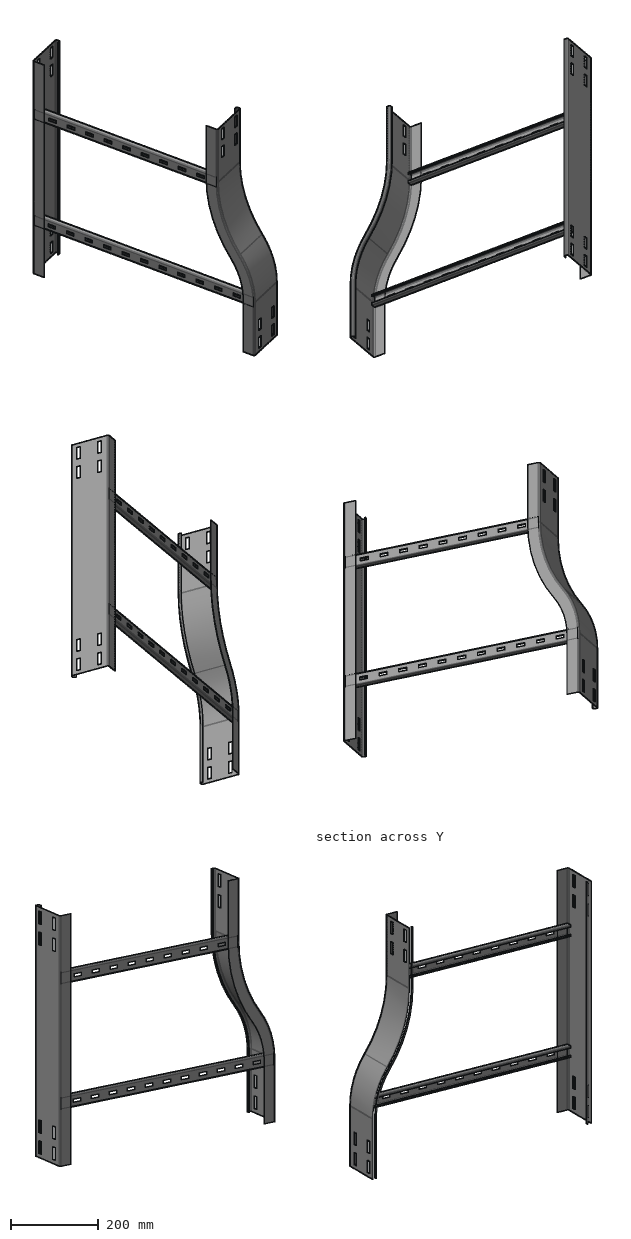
import cadquery as cq
import math

HEIGHT = 600.0
WIDE_WIDTH = 600.0
SLOT_PITCH = HEIGHT / 12
DEPTH = 2 * SLOT_PITCH
OFFSET_X = 2 * SLOT_PITCH
NARROW_WIDTH = WIDE_WIDTH - OFFSET_X

SHEET = 2.0
BEND_RADIUS = 4.0
INNER_BEND_RADIUS = BEND_RADIUS - SHEET
FLANGE_WIDTH = 31.0
LIP_WIDTH = 12.0
LIP_DROP = 9.0

STRAIGHT_LENGTH = 150.0
BEND_LENGTH = HEIGHT - 2 * STRAIGHT_LENGTH
UPPER_BEND_RADIUS = 300.0
BEND_ANGLE = 2 * math.atan(OFFSET_X / BEND_LENGTH)
LOWER_BEND_RADIUS = BEND_LENGTH / math.sin(BEND_ANGLE) - UPPER_BEND_RADIUS

RAIL_SLOT_LENGTH = 30.0
RAIL_SLOT_WIDTH = 9.0
RAIL_SLOT_Y = (24.5, 80.0)
FIRST_RAIL_SLOT = SLOT_PITCH / 2
LOW_SLOT_HEIGHTS = [FIRST_RAIL_SLOT, FIRST_RAIL_SLOT + SLOT_PITCH]
HIGH_SLOT_HEIGHTS = [HEIGHT - low for low in LOW_SLOT_HEIGHTS]

RUNG_HEIGHT = 30.0
RUNG_DEPTH = 15.0
RUNG_BEND_RADIUS = 2.1
RUNG_OPENING = 18.0
RUNG_CLEARANCE = 0.5
RUNG_END_GAP = BEND_RADIUS + RUNG_CLEARANCE
RUNG_SLOT_LENGTH = 20.0
RUNG_SLOT_HEIGHT = 7.0
LOWER_RUNG_Z = STRAIGHT_LENGTH
UPPER_RUNG_Z = HEIGHT - STRAIGHT_LENGTH
LOWER_RUNG_SLOTS = 11
UPPER_RUNG_SLOTS = 9
UPPER_SLOT_SHIFT = 2.5


def rail_profile(outer_x, inward):
    """Closed sheet section on the base plane; inward is +1 or -1 along X."""

    def at(distance, y):
        return (outer_x + inward * distance, y)

    outer_arc = inward * BEND_RADIUS
    inner_arc = -inward * INNER_BEND_RADIUS
    return (
        cq.Workplane("XY")
        .moveTo(*at(FLANGE_WIDTH, 0))
        .lineTo(*at(BEND_RADIUS, 0))
        .radiusArc(at(0, BEND_RADIUS), outer_arc)
        .lineTo(*at(0, DEPTH - BEND_RADIUS))
        .radiusArc(at(BEND_RADIUS, DEPTH), outer_arc)
        .lineTo(*at(LIP_WIDTH - BEND_RADIUS, DEPTH))
        .radiusArc(at(LIP_WIDTH, DEPTH - BEND_RADIUS), outer_arc)
        .lineTo(*at(LIP_WIDTH, DEPTH - LIP_DROP))
        .lineTo(*at(LIP_WIDTH - SHEET, DEPTH - LIP_DROP))
        .lineTo(*at(LIP_WIDTH - SHEET, DEPTH - BEND_RADIUS))
        .radiusArc(at(LIP_WIDTH - BEND_RADIUS, DEPTH - SHEET), inner_arc)
        .lineTo(*at(BEND_RADIUS, DEPTH - SHEET))
        .radiusArc(at(SHEET, DEPTH - BEND_RADIUS), inner_arc)
        .lineTo(*at(SHEET, BEND_RADIUS))
        .radiusArc(at(BEND_RADIUS, SHEET), inner_arc)
        .lineTo(*at(FLANGE_WIDTH, SHEET))
        .close()
    )


def rail_slots(wall_x, slot_heights):
    """Upright slot cutters through a rail wall, centred on wall_x."""
    centres = [(y, z) for y in RAIL_SLOT_Y for z in slot_heights]
    return (
        cq.Workplane("YZ", origin=(wall_x, 0, 0))
        .pushPoints(centres)
        .rect(RAIL_SLOT_WIDTH, RAIL_SLOT_LENGTH)
        .extrude(2 * SHEET, both=True)
    )


def make_straight_rail():
    rail = rail_profile(0, 1).extrude(HEIGHT)
    return rail.cut(rail_slots(0, LOW_SLOT_HEIGHTS + HIGH_SLOT_HEIGHTS))


def make_offset_rail():
    """Rail swept upward from the wide end, through two opposite arcs, to the narrow end."""
    bend_start = STRAIGHT_LENGTH
    bend_end = HEIGHT - STRAIGHT_LENGTH

    def lower_arc(angle):
        x = WIDE_WIDTH - LOWER_BEND_RADIUS * (1 - math.cos(angle))
        return (x, bend_start + LOWER_BEND_RADIUS * math.sin(angle))

    def upper_arc(angle):
        x = NARROW_WIDTH + UPPER_BEND_RADIUS * (1 - math.cos(angle))
        return (x, bend_end - UPPER_BEND_RADIUS * math.sin(angle))

    path = (
        cq.Workplane("XZ")
        .moveTo(WIDE_WIDTH, 0)
        .lineTo(WIDE_WIDTH, bend_start)
        .threePointArc(lower_arc(BEND_ANGLE / 2), lower_arc(BEND_ANGLE))
        .threePointArc(upper_arc(BEND_ANGLE / 2), (NARROW_WIDTH, bend_end))
        .lineTo(NARROW_WIDTH, HEIGHT)
    )
    rail = rail_profile(WIDE_WIDTH, -1).sweep(path)
    rail = rail.cut(rail_slots(WIDE_WIDTH, LOW_SLOT_HEIGHTS))
    return rail.cut(rail_slots(NARROW_WIDTH, HIGH_SLOT_HEIGHTS))


def rounded_bar(length, depth, height, radius):
    """Bar along X, centred on the origin, with its four long edges rounded."""
    return cq.Workplane("XY").box(length, depth, height).edges("|X").fillet(radius)


def make_rung(z, ladder_width, slot_count, slot_shift=0):
    """Lipped channel ending clear of the wall bends of the rails, slotted in its front web."""
    length = ladder_width - 2 * RUNG_END_GAP
    bore_depth = RUNG_DEPTH - 2 * SHEET
    bore_height = RUNG_HEIGHT - 2 * SHEET
    outer = rounded_bar(length, RUNG_DEPTH, RUNG_HEIGHT, RUNG_BEND_RADIUS)
    bore = rounded_bar(length, bore_depth, bore_height, RUNG_BEND_RADIUS - SHEET)
    back_opening = cq.Workplane("XY").box(
        length, RUNG_DEPTH, RUNG_OPENING, centered=(True, False, True)
    )
    slots = (
        cq.Workplane("XZ")
        .center(slot_shift, 0)
        .rarray(SLOT_PITCH, 6, slot_count, 1)
        .rect(RUNG_SLOT_LENGTH, RUNG_SLOT_HEIGHT)
        .extrude(RUNG_DEPTH)
    )
    rung = outer.cut(bore).cut(back_opening).cut(slots)
    return rung.translate((ladder_width / 2, SHEET + RUNG_DEPTH / 2, z))


straight_rail = make_straight_rail()
offset_rail = make_offset_rail()
lower_rung = make_rung(LOWER_RUNG_Z, WIDE_WIDTH, LOWER_RUNG_SLOTS)
upper_rung = make_rung(UPPER_RUNG_Z, NARROW_WIDTH, UPPER_RUNG_SLOTS, UPPER_SLOT_SHIFT)

result = cq.Compound.makeCompound(
    [straight_rail.val(), offset_rail.val(), lower_rung.val(), upper_rung.val()]
)